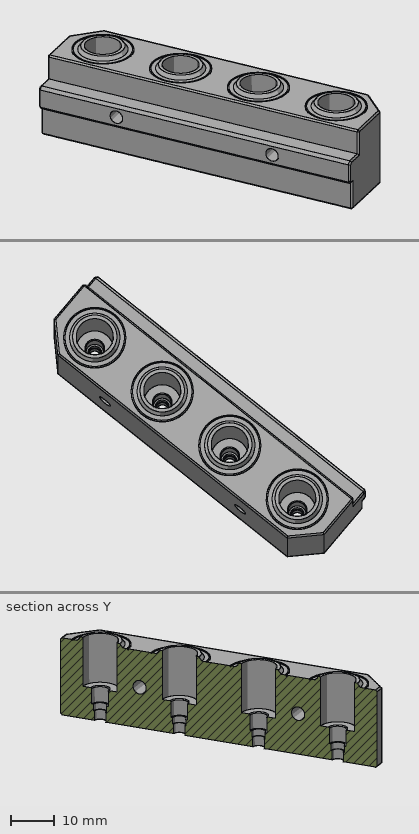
import cadquery as cq

length = 80.0
block_height = 19.0
back_y = 8.5
upper_front_y = -8.3
lower_front_y = -11.6
rail_front_y = -12.8
rail_top_z = 13.0
rail_bottom_z = 7.0
rail_chamfer = 0.7
corner_cut = 6.0
edge_chamfer = 0.4
selection_margin = 0.1

socket_count = 4
socket_pitch = length / socket_count
insert_diameter = 14.2
insert_chamfer = 0.3
collar_base_diameter = 11.5
collar_rim_diameter = 10.5
collar_rim_chamfer = 0.2
collar_cone_height = 0.6
overall_height = 20.0
bore_diameter = 8.5
bore_depth = 12.0

port_diameter = 4.1
port_chamfer = 0.2
port_depth = 4.0
throat_diameter = 3.2
throat_depth = 1.6
outlet_diameter = 2.8

cross_hole_diameter = 3.2
cross_hole_x = length / 4
cross_hole_z = (rail_top_z + rail_bottom_z) / 2


def make_block():
    """Stepped bar with a front rail, two cut back corners and chamfered edges."""
    profile = [
        (back_y, 0),
        (back_y, block_height),
        (upper_front_y, block_height),
        (upper_front_y, rail_top_z),
        (rail_front_y + rail_chamfer, rail_top_z),
        (rail_front_y, rail_top_z - rail_chamfer),
        (rail_front_y, rail_bottom_z + rail_chamfer),
        (rail_front_y + rail_chamfer, rail_bottom_z),
        (lower_front_y, rail_bottom_z),
        (lower_front_y, 0),
    ]
    bar = cq.Workplane("YZ").polyline(profile).close().extrude(length / 2, both=True)
    bar = bar.edges("|Z and >Y").chamfer(corner_cut)
    corner_uprights = cq.selectors.BoxSelector(
        (-length, back_y - corner_cut - selection_margin, 0),
        (length, back_y, block_height),
    )
    sharp_edges = bar.edges("|Z").edges(corner_uprights).vals()
    rim_edges = bar.faces("<X or >X or >Z or <Z").edges().vals()
    chamfered_edges = [
        edge for edge in rim_edges if not any(edge.isSame(sharp) for sharp in sharp_edges)
    ]
    return bar.newObject(chamfered_edges).chamfer(edge_chamfer)


def make_socket():
    """Revolved insert: flush chamfered disc carrying a tapered collar."""
    insert_radius = insert_diameter / 2
    collar_radius = collar_rim_diameter / 2
    outline = [
        (0, block_height - insert_chamfer),
        (insert_radius, block_height - insert_chamfer),
        (insert_radius - insert_chamfer, block_height),
        (collar_base_diameter / 2, block_height),
        (collar_radius, block_height + collar_cone_height),
        (collar_radius - collar_rim_chamfer, overall_height),
        (0, overall_height),
    ]
    return cq.Workplane("XZ").polyline(outline).close().revolve(360, (0, 0, 0), (0, 1, 0))


def make_passage():
    """Bore, chamfered port, throat and outlet, stacked on the socket axis."""
    floor_z = overall_height - bore_depth
    throat_z = floor_z - port_depth
    port_radius = port_diameter / 2
    outline = [
        (0, 0),
        (outlet_diameter / 2, 0),
        (outlet_diameter / 2, throat_z - throat_depth),
        (throat_diameter / 2, throat_z - throat_depth),
        (throat_diameter / 2, throat_z),
        (port_radius, throat_z),
        (port_radius, floor_z - port_chamfer),
        (port_radius + port_chamfer, floor_z),
        (bore_diameter / 2, floor_z),
        (bore_diameter / 2, overall_height),
        (0, overall_height),
    ]
    return cq.Workplane("XZ").polyline(outline).close().revolve(360, (0, 0, 0), (0, 1, 0))


def make_recess():
    """Shallow counterbore that leaves a V groove around the insert."""
    floor = cq.Workplane("XY", origin=(0, 0, block_height - insert_chamfer))
    return floor.circle(insert_diameter / 2).extrude(insert_chamfer)


def make_cross_holes():
    """Pair of through holes running front to back between the sockets."""
    back = cq.Workplane("XZ", origin=(0, back_y, 0))
    centres = [(-cross_hole_x, cross_hole_z), (cross_hole_x, cross_hole_z)]
    return back.pushPoints(centres).circle(cross_hole_diameter / 2).extrude(back_y - rail_front_y)


result = make_block().cut(make_cross_holes())

recess = make_recess()
socket = make_socket()
passage = make_passage()
for index in range(socket_count):
    position = ((index - (socket_count - 1) / 2) * socket_pitch, 0, 0)
    result = result.cut(recess.translate(position))
    result = result.union(socket.translate(position))
    result = result.cut(passage.translate(position))